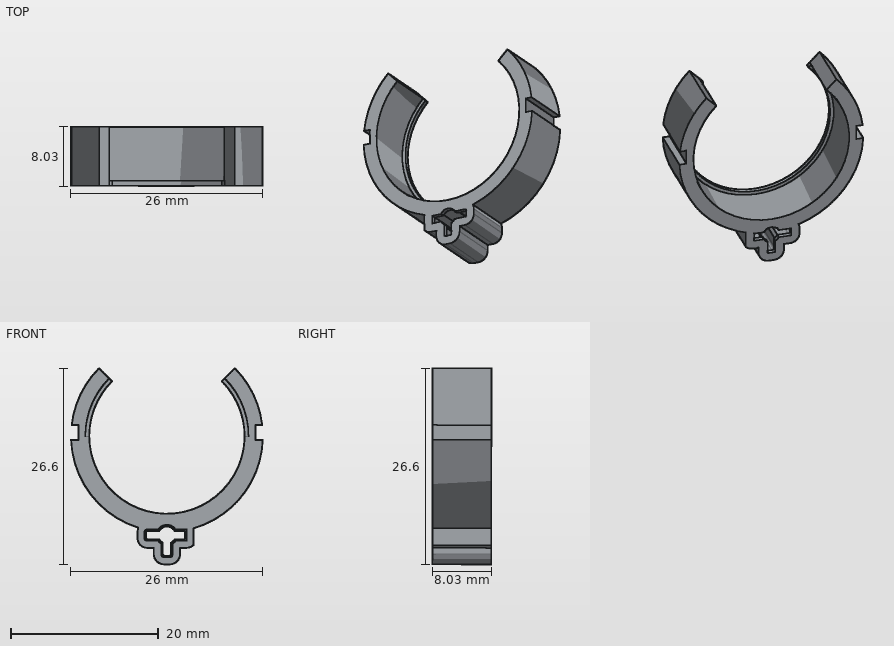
import cadquery as cq
import math

width = 8.0
outer_radius = 13.0
bore_radius = 11.0
opening_half_angle = 45.0
tip_z = outer_radius * math.cos(math.radians(opening_half_angle))

lean_rise = 0.034
clip_height = 26.57
lean_angle = math.degrees(math.atan(lean_rise / clip_height))

lip_radius = 10.5
lip_width = 0.7
lip_overlap = 0.05

notch_height = 2.0
notch_center_z = 0.5
notch_floor_x = 12.0

lug_center_z = -13.4
shoulder_half_width = 4.0
shoulder_half_height = 1.74
shoulder_radius = 1.36
shoulder_trim_x = 3.6
stem_half_width = 1.8
stem_bottom_z = tip_z - clip_height
stem_radius = 1.45

keyhole_half_length = 3.05
keyhole_half_height = 0.77
keyhole_trim_x = 2.65
keyhole_round_radius = 1.39
keyhole_stem_half_width = 0.76
keyhole_bottom_z = -16.4
keyhole_corner_radius = 0.4
ledge_inset = 0.22
ledge_width = 0.7


def block(x_min, x_max, z_min, z_max, y_min=0.0, y_max=width):
    """Box between the given limits."""
    return cq.Workplane("XY").box(
        x_max - x_min, y_max - y_min, z_max - z_min, centered=False
    ).translate((x_min, y_min, z_min))


def cylinder(radius, center_z=0.0, y_min=0.0, y_max=width):
    """Cylinder along Y, centred on X = 0."""
    return (
        cq.Workplane("XZ", origin=(0, y_min, 0))
        .center(0, center_z)
        .circle(radius)
        .extrude(y_min - y_max)
    )


def opening():
    """Wedge that opens the top of the ring along two radial planes."""
    reach = 2 * outer_radius
    half_span = reach * math.tan(math.radians(opening_half_angle))
    return (
        cq.Workplane("XZ", origin=(0, -width, 0))
        .polyline([(0, 0), (half_span, reach), (-half_span, reach)])
        .close()
        .extrude(-3 * width)
    )


def trimmed_bar(half_length, half_height, corner_radius, trim_x, y_min=0.0, y_max=width):
    """Bar across the lug with rounded corners, cut off flat at trim_x."""
    z_min = lug_center_z - half_height
    z_max = lug_center_z + half_height
    bar = block(-half_length, half_length, z_min, z_max, y_min, y_max)
    bar = bar.edges("|Y").fillet(corner_radius)
    return bar.cut(block(trim_x, half_length, z_min, z_max, y_min, y_max))


def rounded_stem(half_width, bottom_z, corner_radius, y_min=0.0, y_max=width):
    """Upright bar from the lug centre down to bottom_z, with its lower corners rounded."""
    stem = block(-half_width, half_width, bottom_z, lug_center_z, y_min, y_max)
    return stem.edges("|Y and <Z").fillet(corner_radius)


def lug():
    shoulder = trimmed_bar(shoulder_half_width, shoulder_half_height, shoulder_radius, shoulder_trim_x)
    return shoulder.union(rounded_stem(stem_half_width, stem_bottom_z, stem_radius))


def keyhole(inset, y_min, y_max):
    """T-shaped opening shrunk by inset on every side."""
    corner_radius = keyhole_corner_radius - inset
    bar = trimmed_bar(
        keyhole_half_length - inset,
        keyhole_half_height - inset,
        corner_radius,
        keyhole_trim_x - inset,
        y_min,
        y_max,
    )
    stem = rounded_stem(
        keyhole_stem_half_width - inset, keyhole_bottom_z + inset, corner_radius, y_min, y_max
    )
    middle = cylinder(keyhole_round_radius - inset, lug_center_z, y_min, y_max)
    return bar.union(stem).union(middle)


def clip_body():
    body = cylinder(outer_radius).union(lug())
    body = body.cut(cylinder(bore_radius)).cut(opening())
    notch_bottom = notch_center_z - notch_height / 2
    notch_top = notch_center_z + notch_height / 2
    body = body.cut(block(notch_floor_x, outer_radius, notch_bottom, notch_top))
    body = body.cut(block(-outer_radius, -notch_floor_x, notch_bottom, notch_top))
    body = body.cut(keyhole(0.0, 0.0, width - ledge_width))
    return body.cut(keyhole(ledge_inset, 0.0, width))


def lip():
    """Lip whose front face leans with the clip below Z = 0 and stands upright above."""
    lean = outer_radius * lean_rise / clip_height
    slab = (
        cq.Workplane("YZ", origin=(-outer_radius, 0, 0))
        .moveTo(0, 0)
        .lineTo(0, outer_radius)
        .lineTo(lip_width + lean, outer_radius)
        .lineTo(lip_width - lean, -outer_radius)
        .lineTo(-lean, -outer_radius)
        .close()
        .extrude(2 * outer_radius)
    )
    ring = cylinder(bore_radius + lip_overlap, y_min=-width)
    ring = ring.cut(cylinder(lip_radius, y_min=-width))
    return ring.cut(opening()).intersect(slab)


leaning_body = clip_body().rotate((0, 0, 0), (1, 0, 0), -lean_angle)
result = leaning_body.union(lip())